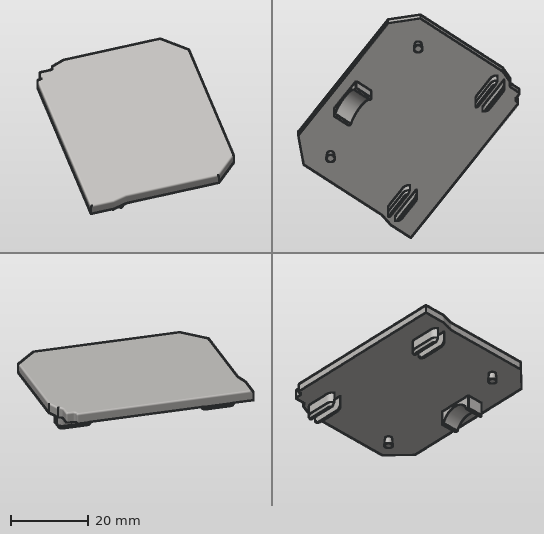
import cadquery as cq
import math

overall_width = 53.0
body_width = 52.0
plate_depth = 41.0
overall_height = 6.7
block_height = 4.0
plate_thickness = overall_height - block_height
top_edge_radius = 0.5
rear_chamfer = 6.0

foot_top_y = 6.4
foot_slope_top_y = 10.0

left_slope_top_y = 8.65
upper_step_x = 2.5
upper_relief_radius = 1.1
upper_relief_y = 4.15
lower_step_x = 4.95
lower_step_y = 1.35
lower_relief_radius = 0.55
corner_radius = 0.51

clip_spacing = 39.0
clip_y = 8.08
clip_radius = 2.05
clip_straight = 6.0
clip_slot = 2.1
clip_tip_height = 1.0
clip_taper_angle = 30.0

block_x = 29.4
block_y = 35.5
block_width = 10.0
block_depth = 5.0
block_edge_chamfer = 0.2
saddle_radius = 4.5
saddle_roof = 0.9

pin_y = 31.02
pin_height = 2.4
pin_root_diameter = 1.9
pin_end_diameter = 2.3
pin_end_chamfer = 0.12


def quarter_arc_middle(center_x, center_y, radius, x_sign, y_sign):
    """Middle point of a quarter circle lying in the given quadrant."""
    reach = radius * math.sqrt(0.5)
    return center_x + x_sign * reach, center_y + y_sign * reach


def make_plate():
    """Plate with its top face at Z = 0 and a rounded top edge."""
    upper_relief_x = upper_step_x - upper_relief_radius
    lower_relief_x = lower_step_x - lower_relief_radius
    lower_relief_y = lower_step_y - lower_relief_radius
    outline = (
        cq.Workplane("XY", origin=(0, 0, -plate_thickness))
        .moveTo(lower_step_x + corner_radius, 0)
        .lineTo(overall_width, 0)
        .lineTo(overall_width, foot_top_y)
        .lineTo(body_width, foot_slope_top_y)
        .lineTo(body_width, plate_depth - rear_chamfer)
        .lineTo(body_width - rear_chamfer, plate_depth)
        .lineTo(rear_chamfer, plate_depth)
        .lineTo(0, plate_depth - rear_chamfer)
        .lineTo(0, left_slope_top_y)
        .lineTo(upper_relief_x, upper_relief_y + upper_relief_radius)
        .threePointArc(
            quarter_arc_middle(upper_relief_x, upper_relief_y, upper_relief_radius, 1, 1),
            (upper_step_x, upper_relief_y),
        )
        .lineTo(upper_step_x, lower_step_y + corner_radius)
        .threePointArc(
            quarter_arc_middle(
                upper_step_x + corner_radius, lower_step_y + corner_radius, corner_radius, -1, -1
            ),
            (upper_step_x + corner_radius, lower_step_y),
        )
        .lineTo(lower_relief_x, lower_step_y)
        .threePointArc(
            quarter_arc_middle(lower_relief_x, lower_relief_y, lower_relief_radius, 1, 1),
            (lower_step_x, lower_relief_y),
        )
        .lineTo(lower_step_x, corner_radius)
        .threePointArc(
            quarter_arc_middle(lower_step_x + corner_radius, corner_radius, corner_radius, -1, -1),
            (lower_step_x + corner_radius, 0),
        )
        .close()
    )
    return outline.extrude(plate_thickness).faces(">Z").edges().fillet(top_edge_radius)


def underside(x, y):
    """Workplane on the plate's underside, facing down."""
    return cq.Workplane("XY", origin=(x, y, -plate_thickness)).transformed(rotate=(180, 0, 0))


def make_clip(x):
    """Stadium-shaped boss with a tapered tip, split lengthwise by a slot."""
    length = clip_straight + 2 * clip_radius
    shank_height = block_height - clip_tip_height
    clip = (
        underside(x, clip_y)
        .slot2D(length, 2 * clip_radius)
        .extrude(shank_height)
        .faces("<Z")
        .workplane()
        .slot2D(length, 2 * clip_radius)
        .extrude(clip_tip_height, taper=clip_taper_angle)
    )
    slot = underside(x, clip_y).rect(length, clip_slot).extrude(block_height)
    return clip.cut(slot)


def make_saddle_block():
    """Block with a round saddle cut through it along Y."""
    block = (
        underside(block_x, block_y)
        .rect(block_width, block_depth)
        .extrude(block_height)
        .edges("|Z")
        .chamfer(block_edge_chamfer)
    )
    saddle_z = -plate_thickness - saddle_roof - saddle_radius
    saddle = (
        cq.Workplane("XZ", origin=(block_x, block_y, saddle_z))
        .circle(saddle_radius)
        .extrude(block_depth / 2, both=True)
    )
    return block.cut(saddle)


def make_pin(x):
    """Round pin that widens slightly toward its free end."""
    return (
        underside(x, pin_y)
        .circle(pin_root_diameter / 2)
        .workplane(offset=pin_height)
        .circle(pin_end_diameter / 2)
        .loft()
        .faces("<Z")
        .edges()
        .chamfer(pin_end_chamfer)
    )


result = make_plate().union(make_saddle_block())
for side in (-1, 1):
    pair_x = body_width / 2 + side * clip_spacing / 2
    result = result.union(make_clip(pair_x)).union(make_pin(pair_x))